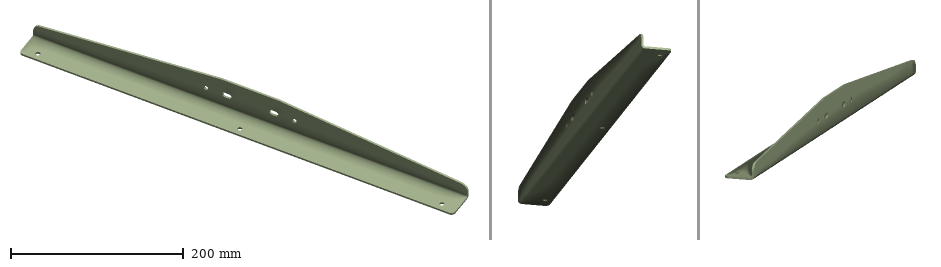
import cadquery as cq

length = 575.0
depth = 37.0
height = 43.0
thickness = 2.6
inner_bend_radius = 2.0
outer_bend_radius = inner_bend_radius + thickness

crest_half_length = 37.5
end_height = 19.0
web_corner_radius = 10.0

flange_corner_radius = 5.0
flange_hole_diameter = 6.0
flange_hole_spacing = 267.5
flange_hole_from_front = 9.0

web_opening_height = 20.5
web_hole_diameter = 6.0
web_hole_offset = 58.5
slot_length = 12.0
slot_width = 7.0
slot_offset = 31.0

half_length = length / 2
rear_y = depth / 2
front_y = -rear_y


def folded_sheet():
    """L-shaped sheet section with a rounded bend, extruded along X."""
    section = (
        cq.Workplane("YZ", origin=(-half_length, 0, 0))
        .moveTo(front_y, 0)
        .lineTo(rear_y - outer_bend_radius, 0)
        .radiusArc((rear_y, outer_bend_radius), -outer_bend_radius)
        .lineTo(rear_y, height)
        .lineTo(rear_y - thickness, height)
        .lineTo(rear_y - thickness, outer_bend_radius)
        .radiusArc((rear_y - outer_bend_radius, thickness), inner_bend_radius)
        .lineTo(front_y, thickness)
        .close()
    )
    return section.extrude(length)


def web_outline():
    """Tapered web shape, thick enough to cover the whole flange depth."""
    blank = (
        cq.Workplane("XZ", origin=(0, rear_y, 0))
        .polyline([
            (-half_length, 0),
            (half_length, 0),
            (half_length, end_height),
            (crest_half_length, height),
            (-crest_half_length, height),
            (-half_length, end_height),
        ])
        .close()
        .extrude(depth)
    )
    upper_end_corners = cq.selectors.BoxSelector(
        (-length, -depth, end_height / 2),
        (length, depth, (end_height + height) / 2),
    )
    return blank.edges("|Y").edges(upper_end_corners).fillet(web_corner_radius)


def flange_holes():
    hole_y = front_y + flange_hole_from_front
    return (
        cq.Workplane("XY")
        .pushPoints([(i * flange_hole_spacing, hole_y) for i in (-1, 0, 1)])
        .circle(flange_hole_diameter / 2)
        .extrude(2 * thickness)
    )


def web_openings():
    """Mirrored pairs of round holes and horizontal slots through the web."""
    plane = cq.Workplane("XZ", origin=(0, rear_y, 0))
    holes = (
        plane
        .pushPoints([(side * web_hole_offset, web_opening_height) for side in (-1, 1)])
        .circle(web_hole_diameter / 2)
        .extrude(2 * thickness)
    )
    slots = (
        plane
        .pushPoints([(side * slot_offset, web_opening_height) for side in (-1, 1)])
        .slot2D(slot_length, slot_width)
        .extrude(2 * thickness)
    )
    return holes.union(slots)


bracket = folded_sheet().intersect(web_outline())
bracket = bracket.edges("|Z and <Y").fillet(flange_corner_radius)
result = bracket.cut(flange_holes()).cut(web_openings())